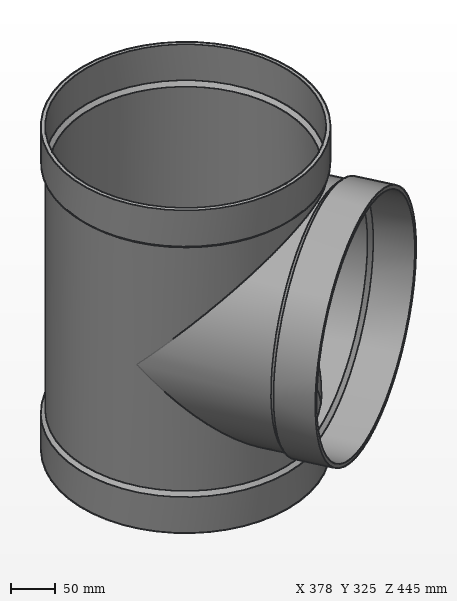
import cadquery as cq

height = 445.0
branch_reach = 215.5
bore_diameter = 305.0
pipe_diameter = 315.0
socket_diameter = 325.0
socket_length = 54.7
socket_depth = 54.7

bore_radius = bore_diameter / 2
pipe_radius = pipe_diameter / 2
socket_radius = socket_diameter / 2
shoulder = socket_radius - pipe_radius
ledge = pipe_radius - bore_radius

top_end = cq.Plane(origin=(0, 0, height / 2), normal=(0, 0, 1))
bottom_end = cq.Plane(origin=(0, 0, -height / 2), normal=(0, 0, -1))
branch_end = cq.Plane(origin=(branch_reach, 0, 0), normal=(1, 0, 0))
end_planes = (top_end, bottom_end, branch_end)


def tee(radius):
    """Solid main cylinder joined by a branch cylinder of the same radius."""
    main = cq.Workplane(bottom_end).circle(radius).extrude(-height)
    branch = cq.Workplane("YZ").circle(radius).extrude(branch_reach)
    return main.union(branch)


def socket_body(plane):
    """Solid socket on an open end, tapered down to the pipe at its back."""
    socket = cq.Workplane(plane).circle(socket_radius).extrude(-socket_length)
    return socket.faces(cq.selectors.DirectionMinMaxSelector(plane.zDir, False)).chamfer(shoulder)


def socket_recess(plane):
    """Widened bore inside a socket, tapered down to the bore at its back."""
    recess = cq.Workplane(plane).circle(pipe_radius).extrude(-socket_depth)
    return recess.faces(cq.selectors.DirectionMinMaxSelector(plane.zDir, False)).chamfer(ledge)


body = tee(pipe_radius)
for end_plane in end_planes:
    body = body.union(socket_body(end_plane))

body = body.cut(tee(bore_radius))
for end_plane in end_planes:
    body = body.cut(socket_recess(end_plane))

result = body